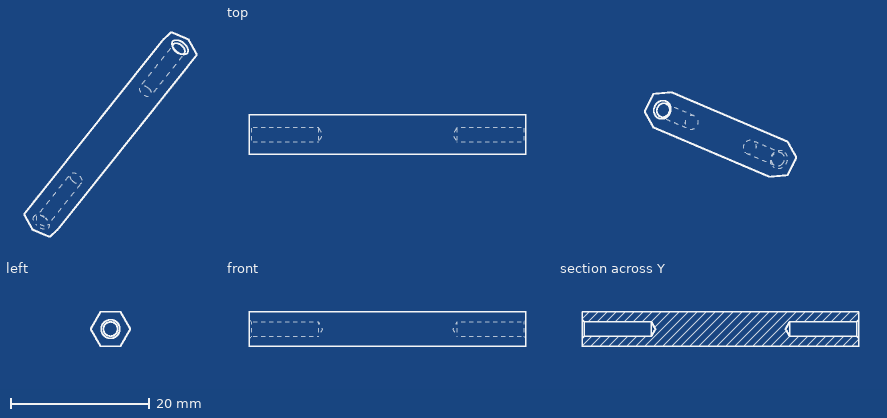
import cadquery as cq
import math

length = 40.0
across_flats = 5.0
edge_radius = 0.1
side_count = 6

hole_diameter = 2.05
mouth_diameter = 2.7
mouth_angle = 90.0
hole_depth = 10.0
drill_point_angle = 120.0


def cone_height(radius_change, included_angle):
    """Axial length over which a cone changes its radius by the given amount."""
    return radius_change / math.tan(math.radians(included_angle / 2))


def hexagonal_bar():
    """Bar with flats facing +Z and -Z and every edge rounded."""
    across_corners = across_flats / math.cos(math.pi / side_count)
    bar = cq.Workplane("YZ").polygon(side_count, across_corners).extrude(length)
    return bar.translate((-length / 2, 0, 0)).edges().fillet(edge_radius)


def blind_hole():
    """Countersunk hole with a drill point, running along +X from the left end face."""
    hole_radius = hole_diameter / 2
    mouth_radius = mouth_diameter / 2
    mouth_depth = cone_height(mouth_radius - hole_radius, mouth_angle)
    tip_depth = hole_depth + cone_height(hole_radius, drill_point_angle)
    half_section = [
        (0, 0),
        (0, mouth_radius),
        (mouth_depth, hole_radius),
        (hole_depth, hole_radius),
        (tip_depth, 0),
    ]
    hole = cq.Workplane("XY").polyline(half_section).close().revolve(360, (0, 0, 0), (1, 0, 0))
    return hole.translate((-length / 2, 0, 0))


left_hole = blind_hole()
right_hole = left_hole.mirror("YZ")
result = hexagonal_bar().cut(left_hole).cut(right_hole)